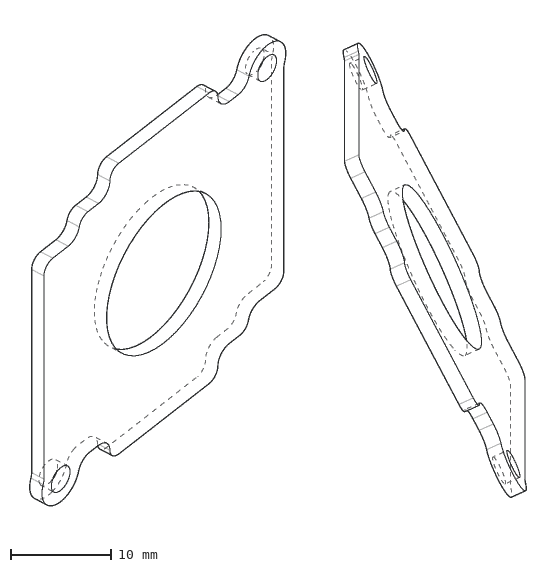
import cadquery as cq
import math

thickness = 1.6
overall_size = 38.37
plate_half = 37.75 / 2
tab_half_width = 8.5
shelf_height = 15.7
shoulder_height = 13.22
shelf_half_span = 11.95
bore_diameter = 18.0
ear_hole_diameter = 2.95
ear_radius = 2.95
outer_radius = 1.4

ear_offset = overall_size / 2 - ear_radius
inner_radius = plate_half - shelf_height - outer_radius


def tangent_point(first_centre, first_radius, second_centre, second_radius):
    """Point where two circles touch from outside."""
    share = first_radius / (first_radius + second_radius)
    return tuple(a + share * (b - a) for a, b in zip(first_centre, second_centre))


def leg(hypotenuse, other_leg):
    """Remaining side of a right triangle."""
    return math.sqrt(hypotenuse**2 - other_leg**2)


ear_centre = (ear_offset, ear_offset)
ear_reach = ear_radius + inner_radius
side_blend_y = plate_half + inner_radius
side_blend_centre = (side_blend_y, ear_offset - leg(ear_reach, side_blend_y - ear_offset))
shelf_blend_z = shelf_height + inner_radius
shelf_blend_centre = (ear_offset - leg(ear_reach, shelf_blend_z - ear_offset), shelf_blend_z)

shelf_corner_centre = (-shelf_half_span, shelf_height - outer_radius)
shoulder_blend_z = shoulder_height + inner_radius
shoulder_run = leg(outer_radius + inner_radius, shoulder_blend_z - shelf_corner_centre[1])
shoulder_blend_centre = (-shelf_half_span - shoulder_run, shoulder_blend_z)


def add_half_outline(path, side):
    """Trace from one side edge over an ear, a tab and a shoulder to the opposite side edge.

    A side of 1 traces the upper half, and -1 traces the same half turned by 180 degrees.
    """

    def line(path, y, z):
        return path.lineTo(side * y, side * z)

    def arc(path, y, z):
        return path.tangentArcPoint((side * y, side * z), relative=False)

    path = line(path, plate_half, side_blend_centre[1])
    path = arc(path, *tangent_point(side_blend_centre, inner_radius, ear_centre, ear_radius))
    path = arc(path, *tangent_point(shelf_blend_centre, inner_radius, ear_centre, ear_radius))
    path = arc(path, shelf_blend_centre[0], shelf_height)

    path = line(path, tab_half_width + inner_radius, shelf_height)
    path = arc(path, tab_half_width, shelf_height + inner_radius)
    path = arc(path, tab_half_width - outer_radius, plate_half)
    path = line(path, outer_radius - tab_half_width, plate_half)
    path = arc(path, -tab_half_width, shelf_height + inner_radius)
    path = arc(path, -tab_half_width - inner_radius, shelf_height)
    path = line(path, -shelf_half_span, shelf_height)

    path = arc(
        path,
        *tangent_point(shelf_corner_centre, outer_radius, shoulder_blend_centre, inner_radius),
    )
    path = arc(path, shoulder_blend_centre[0], shoulder_height)
    path = line(path, outer_radius - plate_half, shoulder_height)
    return arc(path, -plate_half, shoulder_height - outer_radius)


def make_plate():
    """Plate with its full outline."""
    path = cq.Workplane("YZ").moveTo(plate_half, outer_radius - shoulder_height)
    path = add_half_outline(path, 1)
    path = add_half_outline(path, -1)
    return path.close().extrude(thickness)


def make_holes():
    """Cutter for the central bore and the hole in each ear."""
    bore = cq.Workplane("YZ").circle(bore_diameter / 2).extrude(thickness)
    ear_holes = (
        cq.Workplane("YZ")
        .pushPoints([ear_centre, (-ear_offset, -ear_offset)])
        .circle(ear_hole_diameter / 2)
        .extrude(thickness)
    )
    return bore.union(ear_holes)


result = make_plate().cut(make_holes())